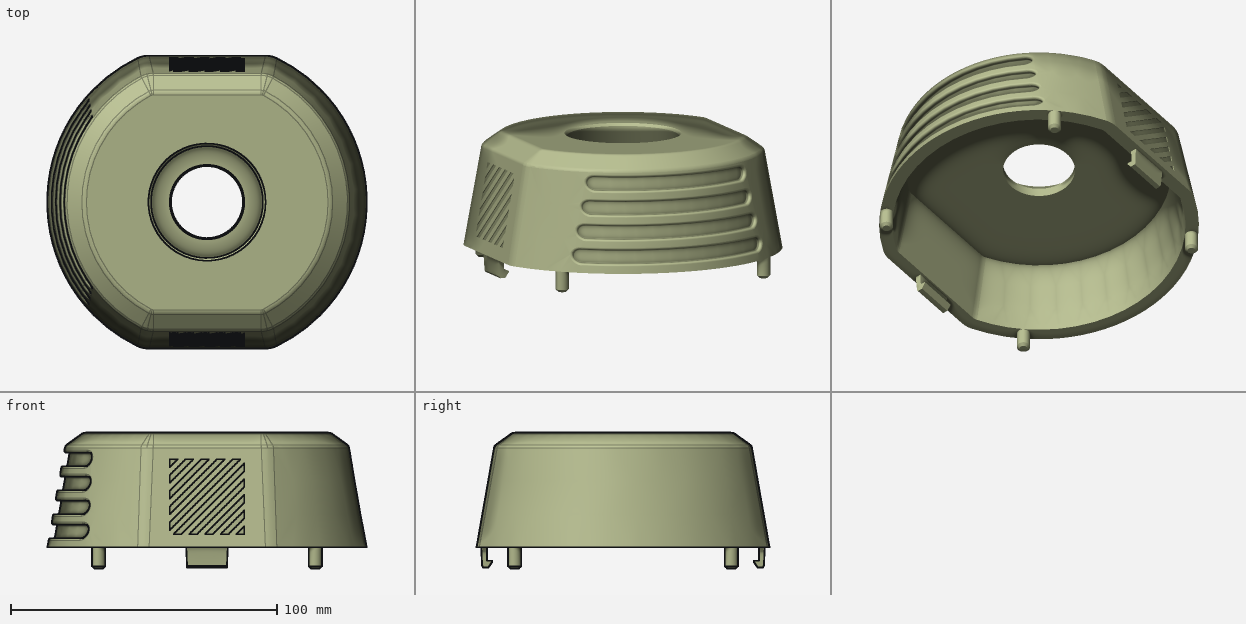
import cadquery as cq
import math

BASE_RADIUS = 60.0
FLAT_OFFSET = 55.0
CORNER_RADIUS = 10.0
DRAFT_ANGLE = 10.0
HEIGHT = 43.1
BEVEL_HEIGHT = 5.0
BEVEL_INSET = 7.0
TOP_EDGE_RADIUS = 3.0
SHOULDER_RADIUS = 2.0
TOLERANCE = 0.01
DRAFT_SLOPE = math.tan(math.radians(DRAFT_ANGLE))

WALL = 5.0
BORE_DIAMETER = 27.0
BORE_CHAMFER = 0.5
RECESS_DIAMETER = 42.0
RECESS_DEPTH = 9.4
RECESS_CHAMFER = 1.0
RECESS_FLOOR = 4.4
CEILING_Z = HEIGHT - RECESS_DEPTH - RECESS_FLOOR

GROOVE_COUNT = 4
GROOVE_FIRST_Z = 6.0
GROOVE_PITCH = 9.0
GROOVE_HEIGHT = 5.0
GROOVE_DEPTH = 2.1
GROOVE_FIRST_HALF_LENGTH = 37.4
GROOVE_SHORTENING = 2.0
GROOVE_LIP_RADIUS = 0.9
GROOVE_FLOOR_RADIUS = 0.35
GROOVE_FLOOR_INSET = GROOVE_DEPTH / math.cos(math.radians(DRAFT_ANGLE))

PANEL_SIZE = 28.0
PANEL_BOTTOM_Z = 5.0
STRIPE_COUNT = 10
STRIPE_ANGLE = 45.0
STRIPE_DEPTH = 0.4

PIN_DIAMETER = 5.0
PIN_LENGTH = 8.0
PIN_CHAMFER = 1.0
PIN_CIRCLE_RADIUS = BASE_RADIUS - PIN_DIAMETER / 2
PIN_ANGLES = (45, 135, 225, 315)

HOOK_WIDTH = 15.7
HOOK_LENGTH = 7.6
HOOK_OUTER_Y = 53.25
HOOK_THICKNESS = 2.25
HOOK_DRAFT = 0.35
HOOK_BARB_REACH = 1.9
HOOK_BARB_Z = -5.0
HOOK_BARB_TIP = 0.5
HOOK_TOE_HEIGHT = 0.7
HOOK_TOE_WIDTH = 0.4
HOOK_TOE_THICKNESS = 2.0
HOOK_ROOT = 1.0


def drafted_cone(radius, height):
    return (
        cq.Workplane("XZ")
        .moveTo(0, 0)
        .lineTo(radius, 0)
        .lineTo(radius - DRAFT_SLOPE * height, height)
        .lineTo(0, height)
        .close()
        .revolve(360, (0, 0), (0, 1))
    )


def drafted_block(inset, height):
    """Round drafted block with two flats, its base outline moved in by inset."""
    radius = BASE_RADIUS - inset
    flat = FLAT_OFFSET - inset
    flat_top = flat - DRAFT_SLOPE * height
    slab = (
        cq.Workplane("YZ")
        .polyline([(-flat, 0), (flat, 0), (flat_top, height), (-flat_top, height)])
        .close()
        .extrude(radius, both=True)
    )
    block = drafted_cone(radius, height).intersect(slab)
    corner_x = math.sqrt(radius**2 - flat**2)
    corners = cq.selectors.BoxSelector(
        (-corner_x - CORNER_RADIUS, -radius, height / 4),
        (corner_x + CORNER_RADIUS, radius, height * 3 / 4),
    )
    return block.edges(corners).fillet(CORNER_RADIUS - inset)


def make_housing():
    wall_height = HEIGHT - BEVEL_HEIGHT
    bevel_angle = math.degrees(math.atan2(BEVEL_INSET, BEVEL_HEIGHT))
    housing = (
        drafted_block(0, wall_height)
        .faces(">Z")
        .wires()
        .toPending()
        .workplane()
        .extrude(BEVEL_HEIGHT, taper=bevel_angle)
    )
    housing = housing.faces(">Z").edges().fillet(TOP_EDGE_RADIUS)
    shoulder = cq.selectors.BoxSelector(
        (-BASE_RADIUS, -BASE_RADIUS, wall_height - TOLERANCE),
        (BASE_RADIUS, BASE_RADIUS, wall_height + TOLERANCE),
    )
    return housing.edges(shoulder).fillet(SHOULDER_RADIUS)


def groove_cutter(index):
    """Horizontal slot through the -X wall whose floor stays parallel to the wall."""
    z = GROOVE_FIRST_Z + index * GROOVE_PITCH
    half_length = GROOVE_FIRST_HALF_LENGTH - index * GROOVE_SHORTENING
    slot = (
        cq.Workplane("YZ", origin=(0, 0, z))
        .slot2D(2 * half_length, GROOVE_HEIGHT)
        .extrude(-BASE_RADIUS)
    )
    return slot.cut(drafted_cone(BASE_RADIUS - GROOVE_FLOOR_INSET, HEIGHT))


def is_groove_rim(edge, wall_inset):
    """True for groove edges lying on the round wall moved in by wall_inset."""
    lowest = GROOVE_FIRST_Z - GROOVE_HEIGHT
    highest = GROOVE_FIRST_Z + (GROOVE_COUNT - 1) * GROOVE_PITCH + GROOVE_HEIGHT
    return all(
        lowest < p.z < highest
        and p.x < 0
        and abs(p.y) < GROOVE_FIRST_HALF_LENGTH
        and abs(math.hypot(p.x, p.y) + wall_inset + DRAFT_SLOPE * p.z - BASE_RADIUS) < TOLERANCE
        for p in (edge.startPoint(), edge.endPoint())
    )


def cut_grooves(body):
    for index in range(GROOVE_COUNT):
        body = body.cut(groove_cutter(index))
    floor_edges = body.edges().filter(lambda edge: is_groove_rim(edge, GROOVE_FLOOR_INSET))
    body = floor_edges.fillet(GROOVE_FLOOR_RADIUS)
    lip_edges = body.edges().filter(lambda edge: is_groove_rim(edge, 0))
    return lip_edges.fillet(GROOVE_LIP_RADIUS)


def hollow_out(body):
    """Open the underside, leaving a thick top with a recessed through hole."""
    body = body.cut(drafted_block(WALL, CEILING_Z))
    recess_z = HEIGHT - RECESS_DEPTH
    recess = cq.Workplane("XY", origin=(0, 0, recess_z)).circle(RECESS_DIAMETER / 2).extrude(RECESS_DEPTH)
    bore = cq.Workplane("XY").circle(BORE_DIAMETER / 2).extrude(HEIGHT)
    body = body.cut(recess).cut(bore)
    body = body.cut(countersink(HEIGHT, RECESS_DIAMETER / 2, RECESS_CHAMFER))
    return body.cut(countersink(recess_z, BORE_DIAMETER / 2, BORE_CHAMFER))


def countersink(rim_z, hole_radius, size):
    """Conical cutter that breaks the rim of a hole at 45 degrees."""
    cone = cq.Solid.makeCone(hole_radius, hole_radius + size, size, cq.Vector(0, 0, rim_z - size))
    return cq.Workplane(cone)


def panel_stripes():
    """Diagonal stripes clipped to the square panel, as a prism along Y."""
    centre_z = PANEL_BOTTOM_Z + PANEL_SIZE / 2
    band_width = PANEL_SIZE * math.sqrt(2) / (2 * STRIPE_COUNT - 1)
    square = cq.Workplane("XZ", origin=(0, 0, centre_z)).rect(PANEL_SIZE, PANEL_SIZE).extrude(BASE_RADIUS)
    stripes = (
        cq.Workplane("XZ", origin=(0, 0, centre_z))
        .transformed(rotate=(0, 0, STRIPE_ANGLE))
        .rarray(1, 2 * band_width, 1, STRIPE_COUNT)
        .rect(2 * PANEL_SIZE, band_width)
        .extrude(BASE_RADIUS)
    )
    return stripes.intersect(square)


def cut_panels(body):
    """Engrave the stripes to an even depth in both leaning flats."""
    depth = STRIPE_DEPTH / math.cos(math.radians(DRAFT_ANGLE))
    floor_y = depth - FLAT_OFFSET
    skin = (
        cq.Workplane("YZ")
        .moveTo(floor_y, 0)
        .lineTo(floor_y + DRAFT_SLOPE * HEIGHT, HEIGHT)
        .lineTo(-BASE_RADIUS, HEIGHT)
        .lineTo(-BASE_RADIUS, 0)
        .close()
        .extrude(PANEL_SIZE, both=True)
    )
    front = panel_stripes().intersect(skin)
    back = front.rotate((0, 0, 0), (0, 0, 1), 180)
    return body.cut(front).cut(back)


def make_pin(angle):
    turn = math.radians(angle)
    centre = (PIN_CIRCLE_RADIUS * math.cos(turn), PIN_CIRCLE_RADIUS * math.sin(turn))
    return (
        cq.Workplane("XY")
        .center(*centre)
        .circle(PIN_DIAMETER / 2)
        .extrude(-PIN_LENGTH)
        .faces("<Z")
        .chamfer(PIN_CHAMFER)
    )


def make_hook():
    """Snap hook under the -Y flat, its barb pointing towards the axis."""
    outer = -HOOK_OUTER_Y
    inner = outer + HOOK_THICKNESS
    toe = outer + HOOK_DRAFT + HOOK_TOE_WIDTH
    barb_y = inner + HOOK_BARB_REACH
    side = (
        cq.Workplane("YZ")
        .moveTo(outer, HOOK_ROOT)
        .lineTo(outer, 0)
        .lineTo(outer + HOOK_DRAFT, HOOK_TOE_HEIGHT - HOOK_LENGTH)
        .lineTo(toe, -HOOK_LENGTH)
        .lineTo(toe + HOOK_TOE_THICKNESS, -HOOK_LENGTH)
        .lineTo(barb_y, HOOK_BARB_Z - HOOK_BARB_TIP)
        .lineTo(barb_y, HOOK_BARB_Z)
        .lineTo(inner, HOOK_BARB_Z)
        .lineTo(inner, HOOK_ROOT)
        .close()
        .extrude(HOOK_WIDTH, both=True)
    )
    half_width = HOOK_WIDTH / 2
    tip_half_width = half_width - HOOK_DRAFT
    face = (
        cq.Workplane("XZ")
        .moveTo(-half_width, HOOK_ROOT)
        .lineTo(-half_width, 0)
        .lineTo(-tip_half_width, -HOOK_LENGTH)
        .lineTo(tip_half_width, -HOOK_LENGTH)
        .lineTo(half_width, 0)
        .lineTo(half_width, HOOK_ROOT)
        .close()
        .extrude(BASE_RADIUS)
    )
    return side.intersect(face)


result = cut_grooves(make_housing())
result = hollow_out(result)
result = cut_panels(result)
for pin_angle in PIN_ANGLES:
    result = result.union(make_pin(pin_angle))
result = result.union(make_hook())
result = result.union(make_hook().mirror("XZ"))